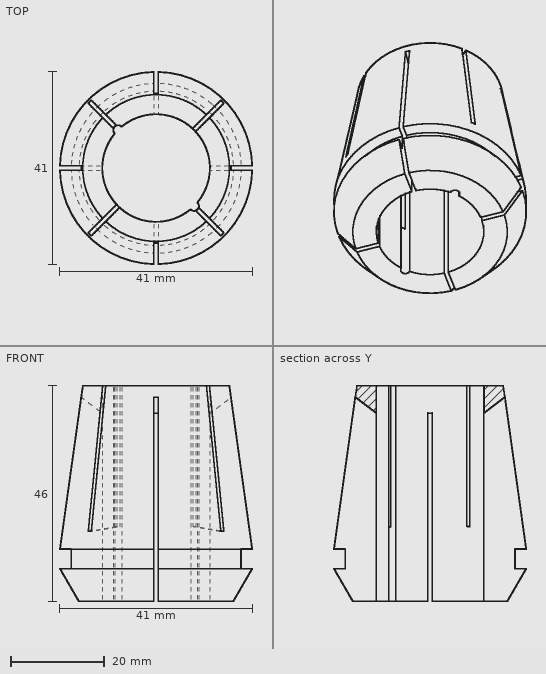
import cadquery as cq

height = 46.0
max_radius = 20.5
base_radius = 16.45
top_radius = 15.65
bore_radius = 11.45

groove_radius = 18.12
groove_bottom = 7.0
groove_top = 11.15

slot_width = 0.9
base_slot_outer_top = 43.55
base_slot_inner_top = 40.1
top_slot_outer_bottom = 14.95
top_slot_inner_bottom = 16.0
overrun = 2.3

relief_radius = 1.0
relief_angles = (135, 315)


def cone_radius(z):
    """Outer radius of the clamping cone at height z."""
    return max_radius + (top_radius - max_radius) * (z - groove_top) / (height - groove_top)


def radial_slot(inner_end, outer_end, open_end, angle):
    """Slot cutter from inside the bore past the outer wall, turned about Z by angle."""
    outer_end_radius = cone_radius(outer_end)
    slope = (outer_end - inner_end) / (outer_end_radius - bore_radius)
    start = bore_radius - overrun
    stop = max_radius + overrun
    start_end = inner_end - slope * overrun
    stop_end = outer_end + slope * (stop - outer_end_radius)
    return (
        cq.Workplane("XZ")
        .polyline([(start, open_end), (start, start_end), (stop, stop_end), (stop, open_end)])
        .close()
        .extrude(slot_width / 2, both=True)
        .rotate((0, 0, 0), (0, 0, 1), angle)
    )


result = (
    cq.Workplane("XZ")
    .polyline([
        (bore_radius, 0),
        (base_radius, 0),
        (max_radius, groove_bottom),
        (groove_radius, groove_bottom),
        (groove_radius, groove_top),
        (max_radius, groove_top),
        (top_radius, height),
        (bore_radius, height),
    ])
    .close()
    .revolve(360, (0, 0, 0), (0, 1, 0))
)

for quarter in (0, 90, 180, 270):
    result = result.cut(
        radial_slot(base_slot_inner_top, base_slot_outer_top, -overrun, quarter)
    )
    result = result.cut(
        radial_slot(top_slot_inner_bottom, top_slot_outer_bottom, height + overrun, quarter + 45)
    )

relief = (
    cq.Workplane("XY")
    .pushPoints([(bore_radius, 0)])
    .circle(relief_radius)
    .extrude(height)
)
for angle in relief_angles:
    result = result.cut(relief.rotate((0, 0, 0), (0, 0, 1), angle))